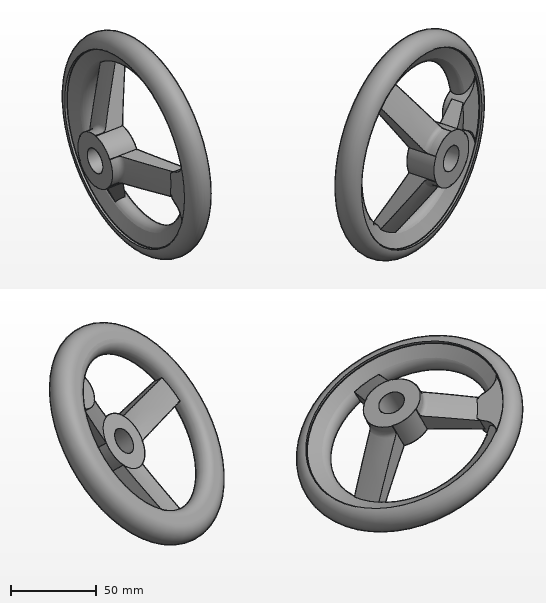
import cadquery as cq
import math


wheel_radius = 70.0
total_depth = 37.9

rim_depth = 17.1
step_width = 0.4
step_depth = 1.5
cone_end_radius = 53.2
cone_end_depth = 11.8
rim_bore_radius = 50.4
rim_bore_depth = 7.3
rim_back_radius = 56.7
grip_radius = rim_depth / 2
grip_centre_radius = wheel_radius - grip_radius

hub_radius = 17.6
hub_length = 19.2
bore_diameter = 16.0
hub_back_depth = total_depth - hub_length

spoke_count = 3
spoke_hub_width = 19.0
spoke_rim_width = 17.6
spoke_end_radius = 53.5
spoke_front_slope = 30.0
spoke_front_radius = 42.1
spoke_back_slope = 23.0
spoke_root_step = 0.3
spoke_root_radius = hub_radius + spoke_root_step
hub_fillet = 3.4

boss_centre_radius = 53.7
boss_radius = 11.8
boss_front_depth = 15.4
boss_back_depth = 2.5
flare_radius = 11.8
flare_offset = 9.0


def revolve_about_axis(section):
    return section.revolve(360, (0, 0, 0), (0, 1, 0))


def make_rim():
    section = (
        cq.Workplane("XY")
        .moveTo(rim_back_radius, 0)
        .lineTo(grip_centre_radius, 0)
        .threePointArc((wheel_radius, -grip_radius), (grip_centre_radius, -rim_depth))
        .lineTo(grip_centre_radius, -rim_depth + step_depth)
        .lineTo(grip_centre_radius - step_width, -rim_depth + step_depth)
        .lineTo(cone_end_radius, -cone_end_depth)
        .threePointArc((rim_bore_radius, -rim_bore_depth), (rim_back_radius, 0))
        .close()
    )
    return revolve_about_axis(section)


def make_hub():
    return (
        cq.Workplane("XZ")
        .workplane(offset=hub_back_depth)
        .circle(hub_radius)
        .extrude(hub_length)
    )


def spoke_front_depth(radius):
    slope = math.tan(math.radians(spoke_front_slope))
    return rim_depth + (spoke_front_radius - radius) * slope


def make_spoke_cone():
    """Full dished cone from which the separate spokes are cut."""
    slope = math.radians(spoke_front_slope)
    arc_centre_radius = spoke_root_radius + hub_fillet
    arc_centre_depth = spoke_front_depth(arc_centre_radius) + hub_fillet / math.cos(slope)

    def fillet_point(angle):
        radius = arc_centre_radius - hub_fillet * math.cos(angle)
        depth = arc_centre_depth - hub_fillet * math.sin(angle)
        return radius, -depth

    touch_angle = math.pi / 2 - slope
    back_drop = (spoke_end_radius - hub_radius) * math.tan(math.radians(spoke_back_slope))
    section = (
        cq.Workplane("XY")
        .moveTo(0, -hub_back_depth)
        .lineTo(hub_radius, -hub_back_depth)
        .lineTo(spoke_end_radius, -hub_back_depth + back_drop)
        .lineTo(spoke_end_radius, -spoke_front_depth(spoke_end_radius))
        .lineTo(*fillet_point(touch_angle))
        .threePointArc(fillet_point(touch_angle / 2), fillet_point(0))
        .lineTo(spoke_root_radius, -total_depth)
        .lineTo(0, -total_depth)
        .close()
    )
    return revolve_about_axis(section)


def make_spokes():
    outline = (
        cq.Workplane("XZ")
        .moveTo(0, -spoke_hub_width / 2)
        .lineTo(spoke_end_radius, -spoke_rim_width / 2)
        .lineTo(spoke_end_radius, spoke_rim_width / 2)
        .lineTo(0, spoke_hub_width / 2)
        .close()
        .extrude(total_depth)
    )
    arms = outline
    for index in range(1, spoke_count):
        angle = index * 360 / spoke_count
        arms = arms.union(outline.rotate((0, 0, 0), (0, 1, 0), angle))
    return make_spoke_cone().intersect(arms)


def make_handle_boss():
    flare_x = boss_centre_radius - flare_offset
    flare_z = math.sqrt((boss_radius + flare_radius) ** 2 - flare_offset**2)
    share = boss_radius / (boss_radius + flare_radius)
    touch_x = boss_centre_radius - flare_offset * share
    touch_z = flare_z * share
    half_turn = math.atan2(touch_z - flare_z, touch_x - flare_x) / 2
    flank_x = flare_x + flare_radius * math.cos(half_turn)
    flank_z = flare_z + flare_radius * math.sin(half_turn)
    end_x = flare_x + flare_radius
    outline = (
        cq.Workplane("XZ")
        .workplane(offset=boss_back_depth)
        .moveTo(end_x, flare_z)
        .threePointArc((flank_x, flank_z), (touch_x, touch_z))
        .threePointArc((boss_centre_radius - boss_radius, 0), (touch_x, -touch_z))
        .threePointArc((flank_x, -flank_z), (end_x, -flare_z))
        .lineTo(wheel_radius, -flare_z)
        .lineTo(wheel_radius, flare_z)
        .close()
        .extrude(boss_front_depth - boss_back_depth)
    )
    rim_disc = cq.Workplane("XZ").circle(grip_centre_radius).extrude(boss_front_depth)
    return outline.intersect(rim_disc)


def make_bore():
    return cq.Workplane("XZ").circle(bore_diameter / 2).extrude(total_depth)


result = (
    make_rim()
    .union(make_hub())
    .union(make_spokes())
    .union(make_handle_boss())
    .cut(make_bore())
)